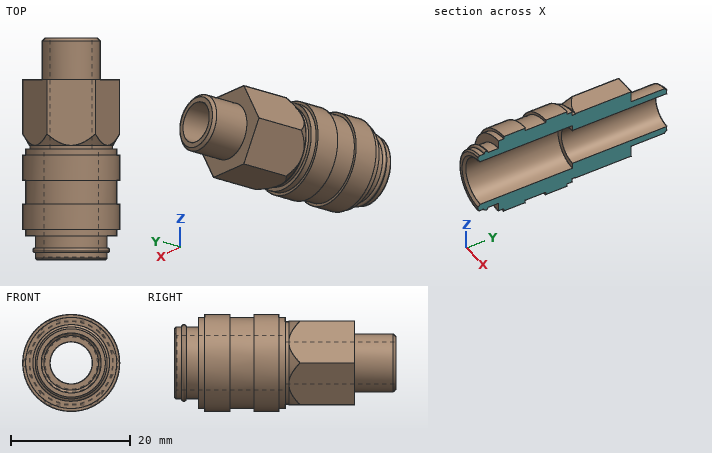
import cadquery as cq
import math


total_length = 37.0
seal_ring_y = 1.6
sleeve_start = 4.0
front_band_start = 5.05
front_band_end = 9.3
rear_band_start = 13.25
rear_band_end = 17.45
sleeve_end = 18.5
hex_start = 19.1
hex_end = 30.05

nose_radius = 6.0
seal_ring_section_radius = 0.4
sleeve_radius = 7.6
band_radius = 8.1
neck_radius = 6.9
spigot_radius = 4.864
socket_radius = 4.55
through_radius = 3.5

hex_across_flats = 14.0
hex_across_corners = hex_across_flats / math.cos(math.radians(30))
hex_chamfer_angle = 30.0

nose_chamfer = 0.3
mouth_chamfer = 0.45
spigot_chamfer = 0.5
socket_depth = sleeve_end


def cylinder(radius, start, end):
    """Solid cylinder on the Y axis between two Y stations."""
    profile = cq.Workplane("XZ", origin=(0, start, 0)).circle(radius)
    return profile.extrude(start - end)


def make_nose():
    """Socket nose with a broken front edge and a half-round seal ring."""
    nose = cylinder(nose_radius, 0, sleeve_start).faces("<Y").chamfer(nose_chamfer)
    ring = (
        cq.Workplane("XY")
        .center(nose_radius, seal_ring_y)
        .circle(seal_ring_section_radius)
        .revolve(360, (-nose_radius, 0), (-nose_radius, 1))
    )
    return nose.union(ring)


def make_sleeve():
    """Sliding sleeve with two raised grip bands."""
    sleeve = cylinder(sleeve_radius, sleeve_start, sleeve_end)
    bands = ((front_band_start, front_band_end), (rear_band_start, rear_band_end))
    for start, end in bands:
        sleeve = sleeve.union(cylinder(band_radius, start, end))
    return sleeve


def make_hexagon():
    """Wrench hexagon, corners on +X and -X, chamfered conically at the sleeve end."""
    prism = (
        cq.Workplane("XZ", origin=(0, hex_start, 0))
        .polygon(6, hex_across_corners)
        .extrude(hex_start - hex_end)
    )
    flat_radius = hex_across_flats / 2
    corner_radius = hex_across_corners / 2
    cone_length = (corner_radius - flat_radius) / math.tan(math.radians(hex_chamfer_angle))
    envelope = (
        cq.Workplane("XY")
        .moveTo(0, hex_start)
        .lineTo(flat_radius, hex_start)
        .lineTo(corner_radius, hex_start + cone_length)
        .lineTo(corner_radius, hex_end)
        .lineTo(0, hex_end)
        .close()
        .revolve(360, (0, 0), (0, 1))
    )
    return prism.intersect(envelope)


def make_spigot():
    """Plain connecting spigot with a chamfered free end."""
    return cylinder(spigot_radius, hex_end, total_length).faces(">Y").chamfer(spigot_chamfer)


def make_bore():
    """Stepped bore: chamfered socket followed by the through passage."""
    mouth_radius = socket_radius + mouth_chamfer
    return (
        cq.Workplane("XY")
        .lineTo(mouth_radius, 0)
        .lineTo(socket_radius, mouth_chamfer)
        .lineTo(socket_radius, socket_depth)
        .lineTo(through_radius, socket_depth)
        .lineTo(through_radius, total_length)
        .lineTo(0, total_length)
        .close()
        .revolve(360, (0, 0), (0, 1))
    )


neck = cylinder(neck_radius, sleeve_end, hex_start)

result = (
    make_nose()
    .union(make_sleeve())
    .union(neck)
    .union(make_hexagon())
    .union(make_spigot())
    .cut(make_bore())
)